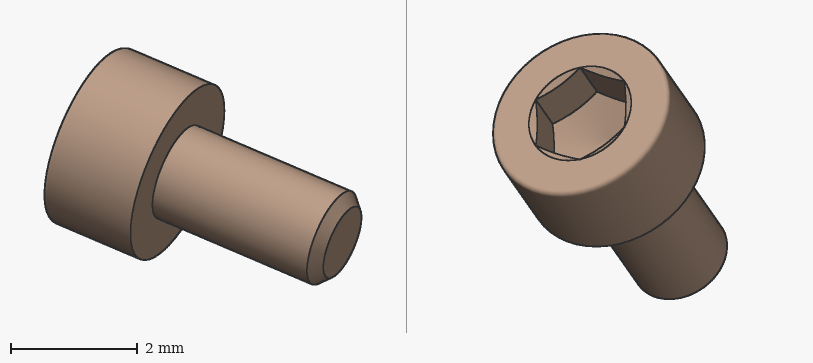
import cadquery as cq
import math

HEAD_DIAMETER = 3.0
HEAD_HEIGHT = 1.6
HEAD_EDGE_RADIUS = 0.08

THREAD_DIAMETER = 1.6
THREAD_PITCH = 0.35
SHANK_LENGTH = 3.0

SOCKET_ACROSS_FLATS = 1.5
SOCKET_CORNER_DEPTH = 0.75
SOCKET_CONE_ANGLE = 120.0

MINOR_DIAMETER_FACTOR = 5 * math.sqrt(3) / 8
tip_chamfer = MINOR_DIAMETER_FACTOR * THREAD_PITCH / 2

head_face_x = -HEAD_HEIGHT
socket_across_corners = SOCKET_ACROSS_FLATS / math.cos(math.radians(30))
socket_corner_radius = socket_across_corners / 2
cone_height = socket_corner_radius / math.tan(math.radians(SOCKET_CONE_ANGLE / 2))


def cylinder_along_x(start_x, length, diameter):
    return cq.Workplane("YZ", origin=(start_x, 0, 0)).circle(diameter / 2).extrude(length)


def pointed_bore(straight_length):
    """Round bore from the head face through the socket corners, ending in a cone."""
    straight_end_x = head_face_x + straight_length
    profile = cq.Workplane("XY").moveTo(head_face_x, 0).lineTo(head_face_x, socket_corner_radius)
    if straight_length > 0:
        profile = profile.lineTo(straight_end_x, socket_corner_radius)
    profile = profile.lineTo(straight_end_x + cone_height, 0).close()
    return profile.revolve(360, (0, 0, 0), (1, 0, 0))


def make_head():
    head = cylinder_along_x(head_face_x, HEAD_HEIGHT, HEAD_DIAMETER)
    return head.faces("<X").edges().fillet(HEAD_EDGE_RADIUS)


def make_shank():
    shank = cylinder_along_x(0, SHANK_LENGTH, THREAD_DIAMETER)
    return shank.faces(">X").edges().chamfer(tip_chamfer)


def make_socket():
    """Hexagonal socket with two corners in the XZ plane, a conical floor and a conical mouth."""
    hexagon = (
        cq.Workplane("YZ", origin=(head_face_x, 0, 0))
        .transformed(rotate=(0, 0, 90))
        .polygon(6, socket_across_corners)
        .extrude(SOCKET_CORNER_DEPTH + cone_height)
    )
    floored_hexagon = hexagon.intersect(pointed_bore(SOCKET_CORNER_DEPTH))
    conical_mouth = pointed_bore(0)
    return floored_hexagon.union(conical_mouth)


result = make_head().union(make_shank()).cut(make_socket())